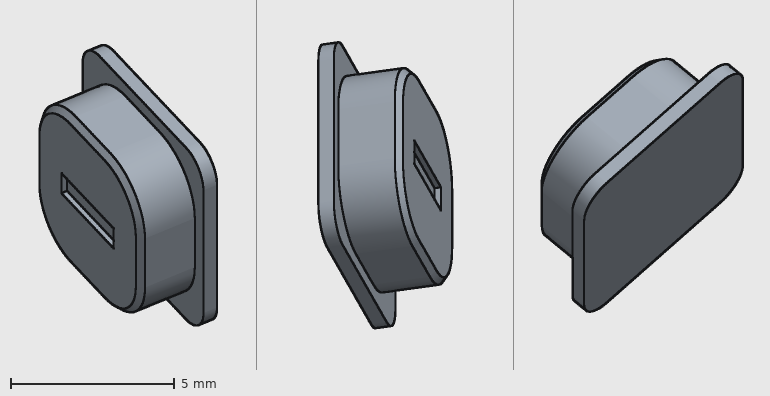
import cadquery as cq

flange_side = 7.0
flange_thickness = 0.5
flange_corner_radius = 1.0

total_depth = 2.5
plug_side = 6.0
plug_corner_radius = 2.0
plug_chamfer = 0.2
plug_height = total_depth - flange_thickness

slot_length = 3.025
slot_width = 0.81
slot_depth = 0.2


def rounded_square(side, corner_radius, height):
    """Square prism extruded toward -Y from Y = 0, with rounded corners."""
    return (
        cq.Workplane("XZ")
        .rect(side, side)
        .extrude(height)
        .edges("|Y")
        .fillet(corner_radius)
    )


def make_flange():
    return rounded_square(flange_side, flange_corner_radius, flange_thickness)


def make_plug():
    plug = rounded_square(plug_side, plug_corner_radius, plug_height)
    plug = plug.faces("<Y").chamfer(plug_chamfer)
    return plug.translate((0, -flange_thickness, 0))


def make_slot():
    return (
        cq.Workplane("XZ", origin=(0, -total_depth + slot_depth, 0))
        .rect(slot_length, slot_width)
        .extrude(slot_depth)
    )


result = make_flange().union(make_plug()).cut(make_slot())